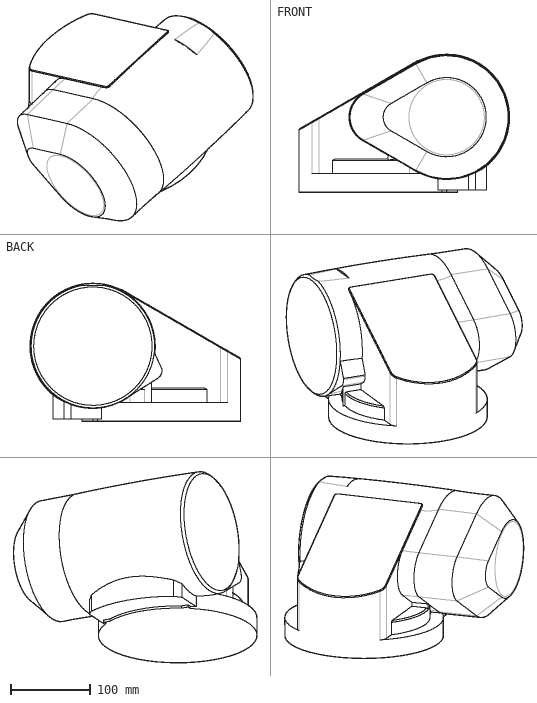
import cadquery as cq
import math

base_radius = 100.0
base_height = 23.9
collar_radius = 83.0
collar_top = 42.0
collar_chamfer = 1.9

axis_x = 86.0
axis_z = 94.5
crown_radius = 79.3
crown_y = 0.0
joint_radius = 78.0
joint_y = -82.2
rear_radius = 77.7
rear_y = 90.0
lip_radius = 74.5
lip_end_y = 93.5
pad_height = 76.5
pad_start_y = 50.4

flank_angle = math.radians(30)
nose_radius = 33.5
nose_crown_radius = 34.5

cover_radius = 77.5
cover_shoulder_y = -133.3
overall_depth = 262.0
cover_end_y = base_radius - overall_depth
face_radius = 49.8
face_nose_radius = 20.0
dish_radius = 47.5
dish_depth = 2.7

pillar_half_width = 60.0
pillar_slope_offset = 79.8
pillar_end_x = 50.5
pillar_corner_radius = 10.5
pillar_end_corner_radius = 4.2
pillar_edge_chamfer = 1.0

pedestal_bottom = 3.0
pedestal_left_x = 12.0
pedestal_flare_mid_x = 39.8
pedestal_flare_end_x = 75.3
pedestal_corner_x = 113.2
pedestal_side_x = 122.0
pedestal_right_x = 136.2
pedestal_front_half = 81.6
pedestal_rear_half = 84.8
pedestal_mid_half = 73.0
pedestal_half = 66.0
pedestal_side_half = 58.3

ledge_left_x = -1.0
ledge_shoulder_z = 65.7
ledge_top_z = 85.5
ledge_corner_z = 57.5
ledge_fillet = 12.0


def cylinder(radius, bottom, top):
    return cq.Workplane("XY").workplane(offset=bottom).circle(radius).extrude(top - bottom)


def flank_point(center_x, radius, side):
    """Point where an upper (+1) or lower (-1) flank touches a circle."""
    return (
        center_x - radius * math.sin(flank_angle),
        axis_z + side * radius * math.cos(flank_angle),
    )


def teardrop_wire(big_radius, small_radius, y):
    """Big circle on the barrel axis, joined by tangents to a small nose on its left."""
    nose_x = axis_x - (big_radius - small_radius) / math.sin(flank_angle)
    outline = (
        cq.Workplane("XZ", origin=(0, y, 0))
        .moveTo(*flank_point(axis_x, big_radius, 1))
        .threePointArc((axis_x + big_radius, axis_z), flank_point(axis_x, big_radius, -1))
        .lineTo(*flank_point(nose_x, small_radius, -1))
        .threePointArc((nose_x - small_radius, axis_z), flank_point(nose_x, small_radius, 1))
        .close()
    )
    return outline.wires().val()


def teardrop_loft(first, second):
    return cq.Workplane(cq.Solid.makeLoft([teardrop_wire(*first), teardrop_wire(*second)], True))


def make_base():
    base = cylinder(base_radius, 0, base_height)
    collar = cylinder(collar_radius, base_height, collar_top)
    return base.union(collar.faces(">Z").chamfer(collar_chamfer))


def make_barrel():
    barrel = (
        cq.Workplane("XY")
        .moveTo(0, joint_y)
        .lineTo(joint_radius, joint_y)
        .threePointArc((crown_radius, crown_y), (rear_radius, rear_y))
        .lineTo(lip_radius, lip_end_y)
        .lineTo(0, lip_end_y)
        .close()
        .revolve(360, (0, 0, 0), (0, 1, 0))
        .translate((axis_x, 0, axis_z))
    )
    pad_cut = cq.Workplane("XY").box(
        crown_radius, lip_end_y - pad_start_y, crown_radius, centered=(True, False, False)
    )
    return barrel.cut(pad_cut.translate((axis_x, pad_start_y, axis_z + pad_height)))


def make_pillar():
    def top_z(x):
        rise = (x - axis_x) * math.sin(flank_angle)
        return axis_z + (pillar_slope_offset + rise) / math.cos(flank_angle)

    end_z = top_z(pillar_end_x)
    end_run = (end_z - axis_z) * math.tan(flank_angle)
    side = (
        cq.Workplane("XZ")
        .moveTo(-base_radius, 0)
        .lineTo(-base_radius, top_z(-base_radius))
        .lineTo(pillar_end_x, end_z)
        .lineTo(pillar_end_x + end_run, axis_z)
        .lineTo(axis_x, 0)
        .close()
        .extrude(pillar_half_width, both=True)
    )
    end_normal = cq.Vector(math.cos(flank_angle), 0, math.sin(flank_angle))
    end_edges = side.faces(cq.selectors.ParallelDirSelector(end_normal)).edges("not |Y")
    side = end_edges.fillet(pillar_end_corner_radius)
    plan = cylinder(base_radius, 0, end_z)
    extension = cq.Workplane("XY").box(
        2 * base_radius, 2 * base_radius, end_z, centered=(False, True, False)
    )
    pillar = side.intersect(plan.union(extension))
    pillar = pillar.edges("|Z and (not >X)").fillet(pillar_corner_radius)
    slope_normal = cq.Vector(-math.sin(flank_angle), 0, math.cos(flank_angle))
    sloping_top = pillar.faces(cq.selectors.DirectionMinMaxSelector(slope_normal, True))
    return sloping_top.chamfer(pillar_edge_chamfer)


def make_pedestal():
    """Block that flares out toward its left face and has a bowed right face."""
    return (
        cq.Workplane("XY")
        .workplane(offset=pedestal_bottom)
        .moveTo(pedestal_left_x, -pedestal_front_half)
        .threePointArc(
            (pedestal_flare_mid_x, -pedestal_mid_half), (pedestal_flare_end_x, -pedestal_half)
        )
        .lineTo(pedestal_corner_x, -pedestal_half)
        .lineTo(pedestal_side_x, -pedestal_side_half)
        .threePointArc((pedestal_right_x, 0), (pedestal_side_x, pedestal_side_half))
        .lineTo(pedestal_corner_x, pedestal_half)
        .lineTo(pedestal_flare_end_x, pedestal_half)
        .threePointArc(
            (pedestal_flare_mid_x, pedestal_mid_half), (pedestal_left_x, pedestal_rear_half)
        )
        .close()
        .extrude(axis_z - pedestal_bottom)
    )


def make_ledge():
    """Rounded ledge whose underside slopes down to meet the barrel."""
    ledge = (
        cq.Workplane("XZ", origin=(0, rear_y, 0))
        .moveTo(axis_x, ledge_top_z)
        .lineTo(axis_x - rear_radius, ledge_top_z)
        .lineTo(ledge_left_x, ledge_shoulder_z)
        .lineTo(ledge_left_x, ledge_corner_z)
        .lineTo(*flank_point(axis_x, rear_radius, -1))
        .lineTo(axis_x, axis_z - rear_radius)
        .close()
        .extrude(rear_y)
    )
    return ledge.faces("<X").edges("|Y").edges("<Z").fillet(ledge_fillet)


def make_housing():
    neck = teardrop_loft(
        (joint_radius, nose_radius, joint_y), (crown_radius, nose_crown_radius, crown_y)
    )
    housing = make_base()
    for part in (make_barrel(), make_pedestal(), make_ledge(), neck, make_pillar()):
        housing = housing.union(part)
    return housing


def make_cover():
    shoulder = (cover_radius, nose_radius, cover_shoulder_y)
    cover = teardrop_loft((joint_radius, nose_radius, joint_y), shoulder)
    cover = cover.union(
        teardrop_loft(shoulder, (face_radius, face_nose_radius, cover_end_y))
    )
    sphere_radius = (dish_radius**2 + dish_depth**2) / (2 * dish_depth)
    sphere_y = cover_end_y + dish_depth - sphere_radius
    dish = cq.Workplane("XY").sphere(sphere_radius).translate((axis_x, sphere_y, axis_z))
    return cover.cut(dish)


cover = make_cover()
housing = make_housing().cut(cover)
result = cq.Compound.makeCompound([housing.solids().val(), cover.solids().val()])